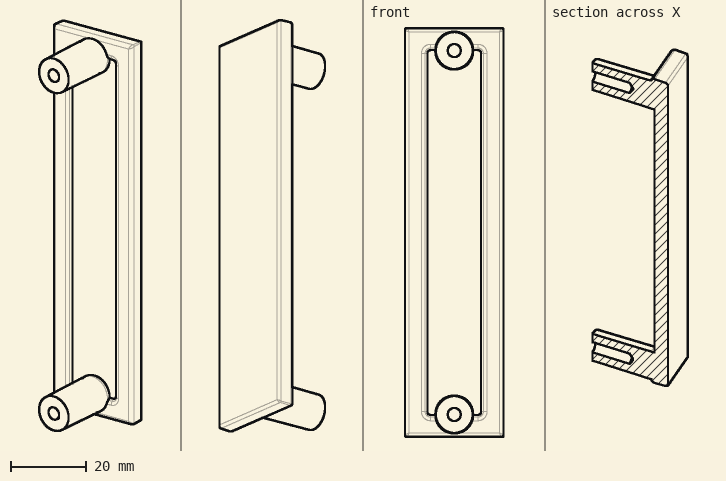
import cadquery as cq
import math

length = 107.9
width = 26.0
total_depth = 22.0

plate_thickness = 5.0
side_draft = 2.0
corner_radius = 0.4
front_round = 1.02
back_round = 0.8

recess_width = 16.2
recess_length = 98.2
recess_depth = 1.0
recess_corner = 1.8
wall_slope = 45.0
rim_round = 1.4

post_spacing = 96.0
post_base_diameter = 10.0
post_tip_diameter = 9.7
hole_diameter = 3.5
hole_depth = 10.8
drill_point_angle = 118.0

back_y = total_depth / 2
tip_y = -total_depth / 2
front_y = back_y - plate_thickness
floor_y = front_y + recess_depth

draft_angle = math.radians(side_draft)
draft_allowance = front_round * (math.tan(draft_angle) + 1 / math.cos(draft_angle) - 1)


def make_plate():
    """Plate that narrows toward the back, with every outer edge rounded."""
    outline = (
        cq.Sketch()
        .rect(width + 2 * draft_allowance, length + 2 * draft_allowance)
        .vertices()
        .fillet(corner_radius)
    )
    plate = (
        cq.Workplane("XZ", origin=(0, front_y, 0))
        .placeSketch(outline)
        .extrude(-plate_thickness, taper=side_draft)
    )
    plate = plate.faces("<Y").edges().fillet(front_round)
    return plate.faces(">Y").edges().fillet(back_round)


def cut_recess(plate):
    """Sink the sloped-wall recess into the front face and round its rim."""
    outline = cq.Sketch().rect(recess_width, recess_length).vertices().fillet(recess_corner)
    pocket = (
        cq.Workplane("XZ", origin=(0, front_y, 0))
        .placeSketch(outline)
        .extrude(-recess_depth, taper=90 - wall_slope)
    )
    plate = plate.cut(pocket)
    rim_margin = 0.1
    rim_box = cq.selectors.BoxSelector(
        (-recess_width / 2 - rim_margin, front_y - rim_margin, -recess_length / 2 - rim_margin),
        (recess_width / 2 + rim_margin, front_y + rim_margin, recess_length / 2 + rim_margin),
        boundingbox=True,
    )
    return plate.edges(rim_box).fillet(rim_round)


def make_post(z):
    """Tapered round post running from the recess floor to its free tip."""
    base_radius = post_base_diameter / 2
    tip_radius = post_tip_diameter / 2
    profile = [
        (0, floor_y),
        (base_radius, floor_y),
        (base_radius, front_y),
        (tip_radius, tip_y),
        (0, tip_y),
    ]
    return (
        cq.Workplane("XY")
        .polyline(profile)
        .close()
        .revolve(360, (0, 0), (0, 1))
        .translate((0, 0, z))
    )


def make_hole(z):
    """Blind hole with a conical drill point, entering at the post tip."""
    radius = hole_diameter / 2
    shoulder_y = tip_y + hole_depth
    point_y = shoulder_y + radius / math.tan(math.radians(drill_point_angle / 2))
    return (
        cq.Workplane("XY")
        .polyline([(0, tip_y), (radius, tip_y), (radius, shoulder_y), (0, point_y)])
        .close()
        .revolve(360, (0, 0), (0, 1))
        .translate((0, 0, z))
    )


result = cut_recess(make_plate())
for post_z in (-post_spacing / 2, post_spacing / 2):
    result = result.union(make_post(post_z)).cut(make_hole(post_z))